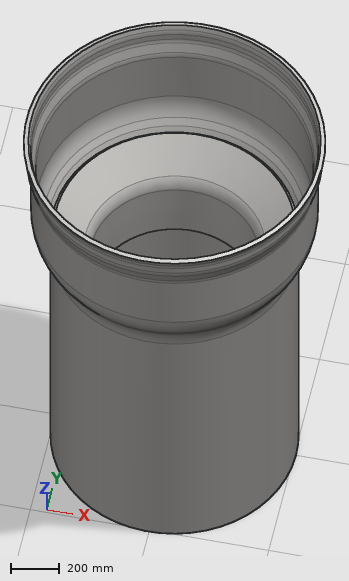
import cadquery as cq
import math

total_height = 2000.0
pipe_wall = 20.0
spigot_radius = (1020 - pipe_wall) / 2
barrel_radius = (1180 - pipe_wall) / 2
bead_radius = (1220 - pipe_wall) / 2

neck_start_z = 1300.0
neck_bend_radius = 220.0
neck_angle = math.radians(30.5)

barrel_top_z = 1822.0
bead_top_z = 1950.0
rim_bend_radius = 90.0
rim_angle = math.radians(15.5)

reducer_wall = 15.0
reducer_radius = (730.0 - reducer_wall) / 2
reducer_bend_radius = 85.0
reducer_angle = math.radians(43)
lip_outer_radius = 508.0
reducer_tube_height = 260.0
reducer_tube_taper = math.radians(1.5)


def straight(length):
    """A straight run of the wall along its present lean."""
    return (length, 0, 0)


def bend(radius, angle):
    """A bend of the wall; a positive angle leans it outward, a negative one inward."""
    return (0, radius, angle)


def double_bend_straight(rise, radius, angle):
    """Length of the cone between two equal and opposite bends that shift the wall outward by a rise."""
    return (rise - 2 * radius * (1 - math.cos(angle))) / math.sin(angle)


def double_bend_height(cone_length, radius, angle):
    """Height taken up by two equal and opposite bends and the cone between them."""
    return 2 * radius * math.sin(angle) + cone_length * math.cos(angle)


def sheet_ring(start_radius, start_z, start_lean, wall, segments):
    """Revolve a wall that starts at the middle radius with an outward lean and follows the segments upward."""

    def across(r, z, lean, offset):
        """Point at an outward offset from the middle of the leaning wall."""
        return (r + offset * math.cos(lean), z - offset * math.sin(lean))

    def face_path(offset):
        """Start point and the (middle, end) points of each segment along one face of the wall."""
        r, z, lean = start_radius, start_z, start_lean
        start = across(r, z, lean, offset)
        steps = []
        for length, radius, angle in segments:
            if angle == 0:
                r += length * math.sin(lean)
                z += length * math.cos(lean)
                steps.append((None, across(r, z, lean, offset)))
                continue
            turn = math.copysign(radius, angle)
            center_r, center_z = across(r, z, lean, turn)
            middle = across(center_r, center_z, lean + angle / 2, offset - turn)
            lean += angle
            r, z = across(center_r, center_z, lean, -turn)
            steps.append((middle, across(r, z, lean, offset)))
        return start, steps

    inner_start, inner_steps = face_path(-wall / 2)
    outer_start, outer_steps = face_path(wall / 2)

    profile = cq.Workplane("XZ").moveTo(*inner_start)
    for middle, end in inner_steps:
        profile = profile.threePointArc(middle, end) if middle else profile.lineTo(*end)
    profile = profile.lineTo(*outer_steps[-1][1])
    outer_ends = [outer_start] + [end for _, end in outer_steps[:-1]]
    for (middle, _), end in zip(reversed(outer_steps), reversed(outer_ends)):
        profile = profile.threePointArc(middle, end) if middle else profile.lineTo(*end)
    return profile.close().revolve(360, (0, 0, 0), (0, 1, 0))


def make_socket_pipe():
    neck_cone = double_bend_straight(barrel_radius - spigot_radius, neck_bend_radius, neck_angle)
    neck_top_z = neck_start_z + double_bend_height(neck_cone, neck_bend_radius, neck_angle)
    bead_cone = double_bend_straight(bead_radius - barrel_radius, rim_bend_radius, rim_angle)
    bead_start_z = barrel_top_z + double_bend_height(bead_cone, rim_bend_radius, rim_angle)
    rim_middle_z = total_height - pipe_wall / 2 * math.sin(rim_angle)
    rim_bend_top_z = bead_top_z + rim_bend_radius * math.sin(rim_angle)
    rim_cone = (rim_middle_z - rim_bend_top_z) / math.cos(rim_angle)
    return sheet_ring(spigot_radius, 0, 0, pipe_wall, [
        straight(neck_start_z),
        bend(neck_bend_radius, neck_angle),
        straight(neck_cone),
        bend(neck_bend_radius, -neck_angle),
        straight(barrel_top_z - neck_top_z),
        bend(rim_bend_radius, rim_angle),
        straight(bead_cone),
        bend(rim_bend_radius, -rim_angle),
        straight(bead_top_z - bead_start_z),
        bend(rim_bend_radius, rim_angle),
        straight(rim_cone),
    ])


def make_reducer():
    neck_face_radius = neck_bend_radius + pipe_wall / 2
    lip_step = lip_outer_radius - (spigot_radius - pipe_wall / 2)
    lip_z = neck_start_z + math.sqrt(neck_face_radius**2 - (neck_face_radius - lip_step)**2)

    lip_radius = lip_outer_radius - reducer_wall / 2 * math.cos(reducer_angle)
    lip_middle_z = lip_z + reducer_wall / 2 * math.sin(reducer_angle)
    bend_rise = reducer_bend_radius * (math.cos(reducer_tube_taper) - math.cos(reducer_angle))
    bend_height = reducer_bend_radius * (math.sin(reducer_angle) - math.sin(reducer_tube_taper))
    cone_rise = lip_radius - reducer_radius - bend_rise
    cone_height = cone_rise / math.tan(reducer_angle)
    tube_end_radius = reducer_radius - reducer_tube_height * math.tan(reducer_tube_taper)
    tube_end_z = lip_middle_z - cone_height - bend_height - reducer_tube_height
    return sheet_ring(tube_end_radius, tube_end_z, reducer_tube_taper, reducer_wall, [
        straight(reducer_tube_height / math.cos(reducer_tube_taper)),
        bend(reducer_bend_radius, reducer_angle - reducer_tube_taper),
        straight(cone_rise / math.sin(reducer_angle)),
    ])


socket_pipe = make_socket_pipe()
reducer = make_reducer()
result = cq.Compound.makeCompound([socket_pipe.val(), reducer.val()])